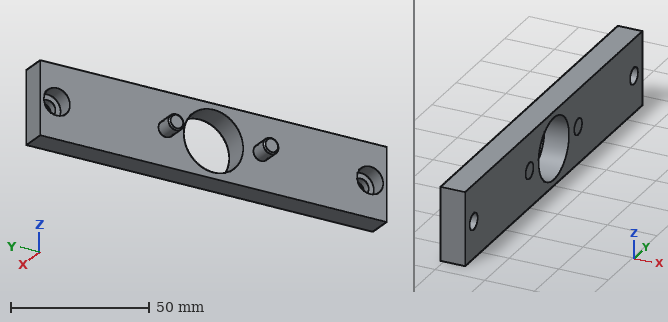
import cadquery as cq

plate_length = 146.0
plate_height = 30.0
plate_thickness = 10.0

bore_diameter = 25.0

mount_spacing = 132.0
mount_diameter = 6.5
counterbore_diameter = 11.0
counterbore_depth = 6.5

pin_spacing = 40.0
pin_diameter = 6.4
overall_depth = 17.5
pin_projection = overall_depth - plate_thickness
pin_chamfer = 0.6


def cylinder_along_x(diameter, start_x, length, center_y=0.0):
    """Cylinder on the plate's mid-height, running in +X from start_x."""
    return (
        cq.Workplane("YZ", origin=(start_x, center_y, 0))
        .circle(diameter / 2)
        .extrude(length)
    )


def mirrored_positions(spacing):
    """The two Y positions placed evenly about the middle of the plate."""
    return (-spacing / 2, spacing / 2)


def make_plate():
    plate = cq.Workplane("XY").box(
        plate_thickness, plate_length, plate_height, centered=(False, True, True)
    )
    plate = plate.cut(cylinder_along_x(bore_diameter, 0, plate_thickness))
    for y in mirrored_positions(mount_spacing):
        plate = plate.cut(cylinder_along_x(mount_diameter, 0, plate_thickness, y))
        plate = plate.cut(cylinder_along_x(counterbore_diameter, 0, counterbore_depth, y))
    for y in mirrored_positions(pin_spacing):
        plate = plate.cut(cylinder_along_x(pin_diameter, 0, plate_thickness, y))
    return plate


def make_pin(center_y):
    """Pin flush with the plate's back face, with a chamfered free end."""
    pin = cylinder_along_x(pin_diameter, -pin_projection, pin_projection + plate_thickness, center_y)
    return pin.faces("<X").chamfer(pin_chamfer)


plate = make_plate()
pins = [make_pin(y) for y in mirrored_positions(pin_spacing)]

result = cq.Compound.makeCompound([plate.val(), *[pin.val() for pin in pins]])